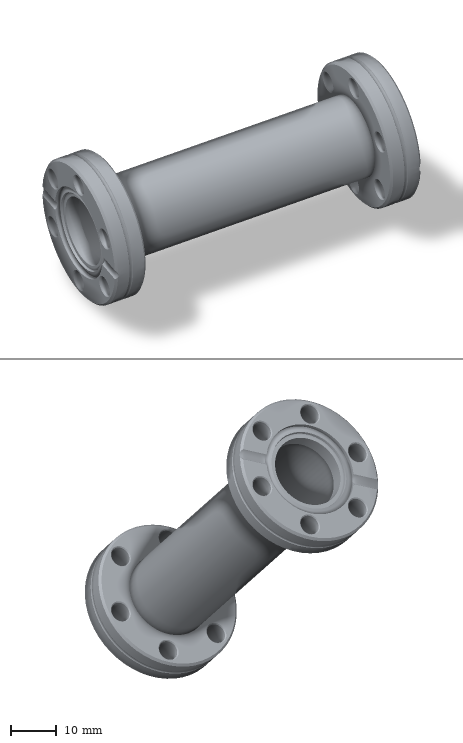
import cadquery as cq

LENGTH = 76.2
FLANGE_DIAMETER = 33.8
FLANGE_THICKNESS = 7.6
EDGE_CHAMFER = 0.5

TUBE_OUTER_DIAMETER = 19.1
TUBE_INNER_DIAMETER = 17.2
FLANGE_BORE_DIAMETER = 16.0
TUBE_SETBACK = 4.4

RECESS_DIAMETER = 21.4
RECESS_DEPTH = 1.1
KNIFE_DIAMETER = 18.3
KNIFE_TIP_DEPTH = 0.57
KNIFE_INNER_DIAMETER = 18.0
INNER_FLAT_DEPTH = 1.15

INSERT_DIAMETER = 21.1
RING_BACK_BORE_DIAMETER = 19.2

BOLT_COUNT = 6
BOLT_CIRCLE_RADIUS = 13.5
BOLT_HOLE_DIAMETER = 4.4
BOLT_HOLE_CHAMFER = 0.2

RIM_GROOVE_DISTANCE = 3.8
RIM_GROOVE_WIDTH = 0.9
RIM_GROOVE_DEPTH = 0.3

SLOT_WIDTH = 2.45
SLOT_DEPTH = 0.6

FACE_Y = -LENGTH / 2
FLANGE_BACK_Y = FACE_Y + FLANGE_THICKNESS
TUBE_END_Y = FACE_Y + TUBE_SETBACK
RECESS_FLOOR_Y = FACE_Y + RECESS_DEPTH
FLANGE_RADIUS = FLANGE_DIAMETER / 2


def revolve_about_y(profile):
    """Solid of revolution about Y of a closed profile whose X is the radius."""
    return profile.close().revolve(360, (0, 0, 0), (0, 1, 0))


def cylinder_along_y(diameter, start_y, end_y):
    return cq.Workplane("XZ", origin=(0, start_y, 0)).circle(diameter / 2).extrude(start_y - end_y)


def flange_blank():
    """Solid disc with chamfered edges and a round-bottomed groove around its rim."""
    groove_y = FACE_Y + RIM_GROOVE_DISTANCE
    half_width = RIM_GROOVE_WIDTH / 2
    profile = (
        cq.Workplane("XY")
        .moveTo(0, FACE_Y)
        .lineTo(FLANGE_RADIUS - EDGE_CHAMFER, FACE_Y)
        .lineTo(FLANGE_RADIUS, FACE_Y + EDGE_CHAMFER)
        .lineTo(FLANGE_RADIUS, groove_y - half_width)
        .threePointArc((FLANGE_RADIUS - RIM_GROOVE_DEPTH, groove_y), (FLANGE_RADIUS, groove_y + half_width))
        .lineTo(FLANGE_RADIUS, FLANGE_BACK_Y - EDGE_CHAMFER)
        .lineTo(FLANGE_RADIUS - EDGE_CHAMFER, FLANGE_BACK_Y)
        .lineTo(0, FLANGE_BACK_Y)
    )
    return revolve_about_y(profile)


def bolt_hole_cutter():
    """Through hole with a small chamfer at each end, on the +X side of the bolt circle."""
    radius = BOLT_HOLE_DIAMETER / 2
    mouth_radius = radius + BOLT_HOLE_CHAMFER
    profile = (
        cq.Workplane("XY")
        .moveTo(0, FACE_Y)
        .lineTo(mouth_radius, FACE_Y)
        .lineTo(radius, FACE_Y + BOLT_HOLE_CHAMFER)
        .lineTo(radius, FLANGE_BACK_Y - BOLT_HOLE_CHAMFER)
        .lineTo(mouth_radius, FLANGE_BACK_Y)
        .lineTo(0, FLANGE_BACK_Y)
    )
    return revolve_about_y(profile).translate((BOLT_CIRCLE_RADIUS, 0, 0))


def cut_bolt_holes(body):
    for index in range(BOLT_COUNT):
        angle = 360 / BOLT_COUNT * (index + 0.5)
        body = body.cut(bolt_hole_cutter().rotate((0, 0, 0), (0, 1, 0), angle))
    return body


def cut_leak_slots(body):
    """Round-bottomed slot along X, limited to the flat face outside the recess."""
    slot_radius = ((SLOT_WIDTH / 2) ** 2 + SLOT_DEPTH**2) / (2 * SLOT_DEPTH)
    slot = (
        cq.Workplane("YZ", origin=(-FLANGE_RADIUS, FACE_Y + SLOT_DEPTH - slot_radius, 0))
        .circle(slot_radius)
        .extrude(FLANGE_DIAMETER)
        .cut(cylinder_along_y(RECESS_DIAMETER, FACE_Y - slot_radius, FLANGE_BACK_Y))
    )
    return body.cut(slot)


def drilled_flange_disc():
    return cut_leak_slots(cut_bolt_holes(flange_blank()))


def sealing_core(diameter, back_y):
    """Annular core with the bore, the flat around it and the knife edge on its front."""
    profile = (
        cq.Workplane("XY")
        .moveTo(FLANGE_BORE_DIAMETER / 2, back_y)
        .lineTo(FLANGE_BORE_DIAMETER / 2, FACE_Y + INNER_FLAT_DEPTH)
        .lineTo(KNIFE_INNER_DIAMETER / 2, FACE_Y + INNER_FLAT_DEPTH)
        .lineTo(KNIFE_DIAMETER / 2, FACE_Y + KNIFE_TIP_DEPTH)
        .lineTo(diameter / 2, RECESS_FLOOR_Y)
        .lineTo(diameter / 2, back_y)
    )
    return revolve_about_y(profile)


def make_rotatable_ring():
    """Loose outer ring, counterbored from the front for the insert."""
    counterbore = cylinder_along_y(RECESS_DIAMETER, FACE_Y, TUBE_END_Y)
    back_bore = cylinder_along_y(RING_BACK_BORE_DIAMETER, TUBE_END_Y, FLANGE_BACK_Y)
    return drilled_flange_disc().cut(counterbore).cut(back_bore)


def make_insert():
    """Ring with the knife edge that closes the end of the tube inside the rotatable ring."""
    return sealing_core(INSERT_DIAMETER, TUBE_END_Y)


def make_fixed_flange():
    """One-piece flange at the +Y end, with a socket in its back for the tube."""
    core_space = cylinder_along_y(RECESS_DIAMETER, FACE_Y, TUBE_END_Y)
    socket = cylinder_along_y(TUBE_OUTER_DIAMETER, TUBE_END_Y, FLANGE_BACK_Y)
    core = sealing_core(RECESS_DIAMETER, TUBE_END_Y)
    flange = drilled_flange_disc().cut(core_space).cut(socket).union(core)
    return flange.rotate((0, 0, 0), (0, 0, 1), 180)


def make_tube():
    outside = cylinder_along_y(TUBE_OUTER_DIAMETER, TUBE_END_Y, -TUBE_END_Y)
    inside = cylinder_along_y(TUBE_INNER_DIAMETER, TUBE_END_Y, -TUBE_END_Y)
    return outside.cut(inside)


tube = make_tube()
rotatable_ring = make_rotatable_ring()
insert = make_insert()
fixed_flange = make_fixed_flange()

result = cq.Compound.makeCompound(
    [tube.val(), rotatable_ring.val(), insert.val(), fixed_flange.val()]
)